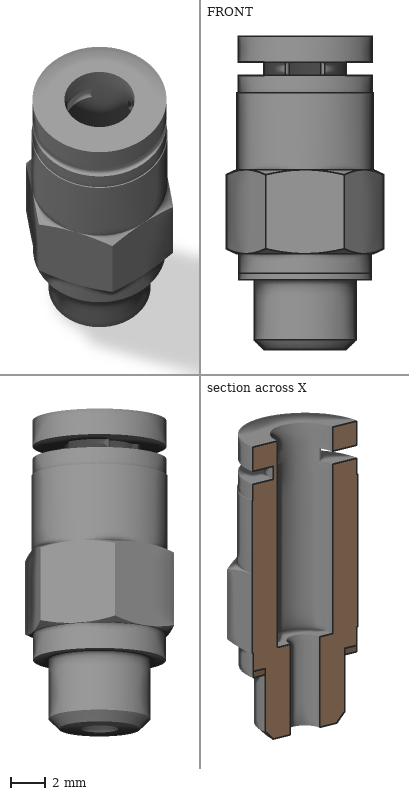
import cadquery as cq
import math

thread_chamfer_top = 0.59
gasket_bottom = 4.1
gasket_top = 4.49
hex_bottom = 5.63
hex_top = 10.56
sleeve_top = 15.09
shoulder_top = 16.1
cap_bottom = 16.87
cap_top = 18.4

thread_radius = 3.0
thread_tip_radius = 2.4
collar_radius = 3.9
hex_across_flats = 8.0
sleeve_radius = hex_across_flats / 2
cap_radius = 3.94
neck_radius = 2.41
tube_bore_radius = 2.06
flow_bore_radius = 1.1

tube_stop = hex_bottom

hex_corner_radius = hex_across_flats / 2 / math.cos(math.radians(30))
hex_corner_drop = 0.3

window_count = 3
first_window_angle = -90
window_inner_width = 1.84
window_outer_width = 2.34
wall_bulge = 0.05


def cylinder(radius, bottom, top):
    """Upright cylinder on the fitting axis."""
    return cq.Workplane("XY").workplane(offset=bottom).circle(radius).extrude(top - bottom)


def make_thread():
    """Threaded stem with a smooth surface and a conical lead-in at its tip."""
    profile = [
        (0, 0),
        (thread_tip_radius, 0),
        (thread_radius, thread_chamfer_top),
        (thread_radius, gasket_top),
        (0, gasket_top),
    ]
    return cq.Workplane("XZ").polyline(profile).close().revolve(360, (0, 0), (0, 1))


def make_hexagon():
    """Wrench hexagon with its corners turned off conically at both ends."""
    prism = (
        cq.Workplane("XY").workplane(offset=hex_bottom)
        .polygon(6, 2 * hex_corner_radius).extrude(hex_top - hex_bottom)
    )
    turned_profile = [
        (0, hex_bottom),
        (hex_across_flats / 2, hex_bottom),
        (hex_corner_radius, hex_bottom + hex_corner_drop),
        (hex_corner_radius, hex_top - hex_corner_drop),
        (hex_across_flats / 2, hex_top),
        (0, hex_top),
    ]
    turned = cq.Workplane("XZ").polyline(turned_profile).close().revolve(360, (0, 0), (0, 1))
    return prism.intersect(turned)


def make_window(angle):
    """Window through the neck wall, bounded by legs whose side walls bulge as arcs."""
    inner_half = window_inner_width / 2
    outer_half = window_outer_width / 2
    inner_depth = math.sqrt(tube_bore_radius**2 - inner_half**2)
    outer_depth = math.sqrt(neck_radius**2 - outer_half**2)
    middle_depth = (inner_depth + outer_depth) / 2 + wall_bulge * math.sqrt(0.5)
    middle_half = (inner_half + outer_half) / 2 - wall_bulge * math.sqrt(0.5)
    return (
        cq.Workplane("XY").workplane(offset=shoulder_top)
        .moveTo(0, -inner_half)
        .lineTo(inner_depth, -inner_half)
        .threePointArc((middle_depth, -middle_half), (outer_depth, -outer_half))
        .lineTo(neck_radius, -outer_half)
        .lineTo(neck_radius, outer_half)
        .lineTo(outer_depth, outer_half)
        .threePointArc((middle_depth, middle_half), (inner_depth, inner_half))
        .lineTo(0, inner_half)
        .close().extrude(cap_bottom - shoulder_top)
        .rotate((0, 0, 0), (0, 0, 1), angle)
    )


def make_neck():
    """Three-legged neck between shoulder and cap."""
    neck = cylinder(neck_radius, shoulder_top, cap_bottom)
    for index in range(window_count):
        neck = neck.cut(make_window(first_window_angle + index * 360 / window_count))
    return neck


def make_fitting():
    """Push-in fitting: stem, collar, hexagon, sleeve, windowed neck and cap."""
    body = (
        make_thread()
        .union(cylinder(collar_radius, gasket_top, hex_bottom))
        .union(make_hexagon())
        .union(cylinder(sleeve_radius, hex_top, sleeve_top))
        .union(cylinder(cap_radius, sleeve_top, shoulder_top))
        .union(make_neck())
        .union(cylinder(cap_radius, cap_bottom, cap_top))
    )
    return (
        body
        .cut(cylinder(flow_bore_radius, 0, cap_top))
        .cut(cylinder(tube_bore_radius, tube_stop, cap_top))
    )


def make_gasket():
    """Flat sealing ring around the stem, against the underside of the collar."""
    return cylinder(collar_radius, gasket_bottom, gasket_top).cut(
        cylinder(thread_radius, gasket_bottom, gasket_top)
    )


fitting = make_fitting()
gasket = make_gasket()
result = cq.Compound.makeCompound([fitting.solids().val(), gasket.solids().val()])